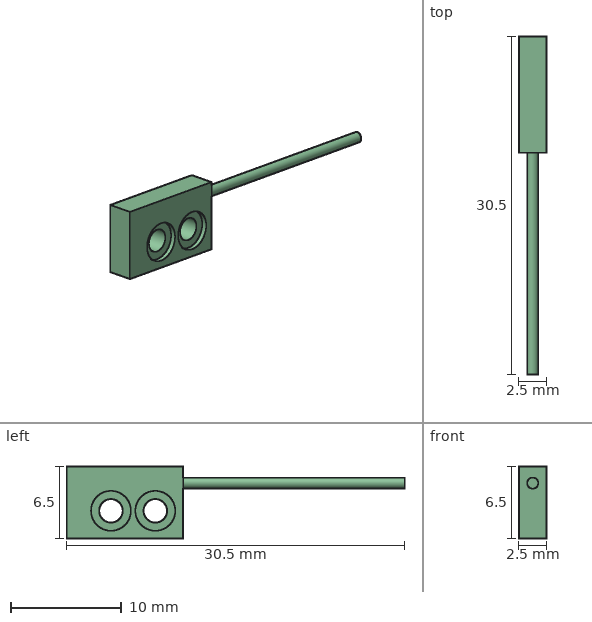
import cadquery as cq

HOUSING_WIDTH = 2.5
HOUSING_LENGTH = 10.5
HOUSING_HEIGHT = 6.5

HOLE_DIAMETER = 2.1
COUNTERBORE_DIAMETER = 3.6
COUNTERBORE_DEPTH = 0.5
HOLE_SPACING = 4.0
HOLE_COUNT = 2
FIRST_HOLE_Y = 2.5
HOLE_Z = 2.5

CABLE_DIAMETER = 1.0
CABLE_LENGTH = 20.0
CABLE_BELOW_TOP = 1.5


def make_housing():
    """Rectangular block with a row of holes counterbored on the -X face."""
    block = cq.Workplane("XY").box(
        HOUSING_WIDTH, HOUSING_LENGTH, HOUSING_HEIGHT, centered=(True, False, False)
    )
    hole_centers = [(FIRST_HOLE_Y + i * HOLE_SPACING, HOLE_Z) for i in range(HOLE_COUNT)]
    counterbored_face = cq.Workplane("YZ", origin=(-HOUSING_WIDTH / 2, 0, 0)).pushPoints(hole_centers)
    holes = counterbored_face.circle(HOLE_DIAMETER / 2).extrude(HOUSING_WIDTH)
    counterbores = counterbored_face.circle(COUNTERBORE_DIAMETER / 2).extrude(COUNTERBORE_DEPTH)
    return block.cut(holes).cut(counterbores)


def make_cable():
    """Straight round cable that butts against the housing's Y = 0 face."""
    cable_z = HOUSING_HEIGHT - CABLE_BELOW_TOP
    cable_end = cq.Workplane("XZ", origin=(0, 0, cable_z))
    return cable_end.circle(CABLE_DIAMETER / 2).extrude(CABLE_LENGTH)


housing = make_housing()
cable = make_cable()

result = cq.Compound.makeCompound([housing.val(), cable.val()])